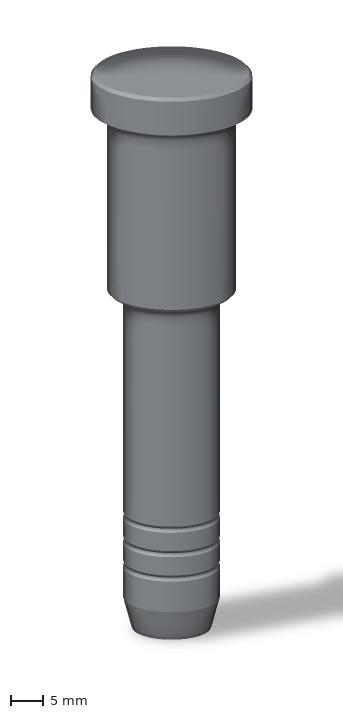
import cadquery as cq
import math

head_radius = 12.51
sleeve_radius = 10.0
rod_radius = 7.51

total_height = 91.0
head_bottom = 85.0
sleeve_bottom = 55.0
taper_top = 5.0

edge_size = 0.5
groove_width = 2 * edge_size
groove_pitch = 4.0
lowest_groove_top = 11.0
neck_overlap = 0.3
ring_groove_count = 3
taper_angle = 15.0
tip_chamfer_width = 0.2


def cylinder(radius, bottom, top):
    return cq.Workplane("XY").workplane(offset=bottom).circle(radius).extrude(top - bottom)


def v_groove(radius, top):
    """Ring with a symmetric 45-degree V section, its mouth on the given radius."""
    section = [
        (radius, top),
        (radius - edge_size, top - groove_width / 2),
        (radius, top - groove_width),
    ]
    return cq.Workplane("XZ").polyline(section).close().revolve(360, (0, 0), (0, 1))


def head():
    return cylinder(head_radius, head_bottom, total_height).faces(">Z").chamfer(edge_size)


def sleeve():
    body = cylinder(sleeve_radius, sleeve_bottom, head_bottom)
    body = body.faces("<Z").chamfer(edge_size)
    return body.cut(v_groove(sleeve_radius, head_bottom))


def tapered_tip():
    chamfer_radius = rod_radius - (taper_top - edge_size) * math.tan(math.radians(taper_angle))
    section = [
        (0, 0),
        (chamfer_radius - tip_chamfer_width, 0),
        (chamfer_radius, edge_size),
        (rod_radius, taper_top),
        (0, taper_top),
    ]
    return cq.Workplane("XZ").polyline(section).close().revolve(360, (0, 0), (0, 1))


def rod():
    neck_top = sleeve_bottom + neck_overlap
    body = cylinder(rod_radius, taper_top, neck_top)
    body = body.cut(v_groove(rod_radius, neck_top))
    for index in range(ring_groove_count):
        body = body.cut(v_groove(rod_radius, lowest_groove_top + index * groove_pitch))
    return body


result = head().union(sleeve()).union(rod()).union(tapered_tip())